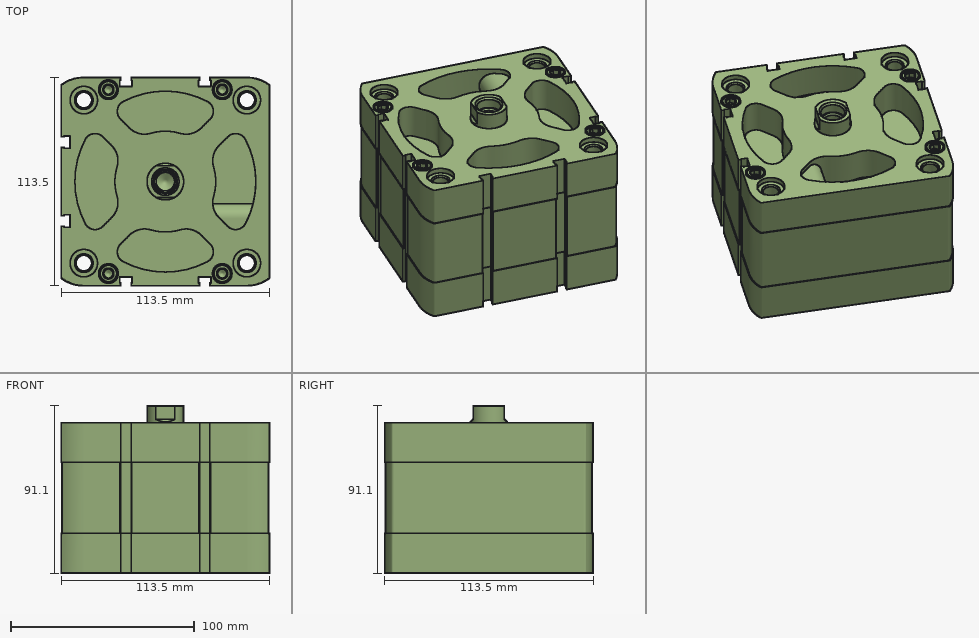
import cadquery as cq
import math


WIDTH = 113.5
HALF_WIDTH = WIDTH / 2
HEIGHT = 82.0
CAP_HEIGHT = 21.7
BARREL_HEIGHT = HEIGHT - 2 * CAP_HEIGHT
BARREL_INSET = 0.5
CORNER_ARC_RADIUS = 20.0
CORNER_ARC_X = 44.6
CAP_EDGE_FILLET = 1.1
BARREL_EDGE_FILLET = 1.7

SLOT_OFFSET = 21.5
SLOT_MOUTH = 5.7
SLOT_WIDTH = 6.6
SLOT_LIP = 1.6
CAP_SLOT_DEPTH = 5.0
BARREL_SLOT_DEPTH = 4.3
SLOT_MOUTH_CHAMFER = 0.5
SLOT_SIDE_ANGLES = (0, 180, 270)

POCKET_DEPTH = 18.8
POCKET_INNER_RADIUS = 27.5
POCKET_OUTER_RADIUS = 49.3
POCKET_LOBE_RADIUS = 11.6
POCKET_LOBE_X = 11.4
POCKET_END_RADIUS = 6.0
POCKET_FLANK_ANGLE = 45.0
PLAIN_POCKET_ANGLES = (0, 90, 180)
PORT_POCKET_ANGLE = 270

PORT_BOSS_RADIUS = 8.1
PORT_Y = -20.1
PORT_Z = HEIGHT - CAP_HEIGHT / 2

MOUNT_OFFSET = 44.4
MOUNT_DIAMETER = 8.5
MOUNT_COUNTERBORE = 15.0
MOUNT_COUNTERBORE_DEPTH = 3.0
MOUNT_COUNTERSINK = 10.1

SCREW_X = 31.0
SCREW_Y = 50.0
SCREW_DIAMETER = 10.7
SCREW_HEAD_DIAMETER = 10.0
SCREW_TOP_DIAMETER = 9.0
SCREW_GAP_DEPTH = 1.1
SCREW_SOCKET_MOUTH = 6.0
SCREW_HEX_CORNERS = 5.8
SCREW_HEX_DEPTH = 3.4
SCREW_DRILL_DIAMETER = 5.0

ROD_DIAMETER = 20.0
ROD_RADIUS = ROD_DIAMETER / 2
ROD_PROTRUSION = 9.1
ROD_TOP = HEIGHT + ROD_PROTRUSION
ROD_BOTTOM = HEIGHT - CAP_HEIGHT
ROD_ACROSS_FLATS = 17.0
ROD_FLAT_HEIGHT = 7.2
ROD_MOUTH_DIAMETER = 15.0
ROD_RECESS_DIAMETER = 13.0
ROD_RECESS_DEPTH = 6.1
ROD_CONE_DIAMETER = 12.0
ROD_BORE_DIAMETER = 10.1
ROD_BORE_DEPTH = 19.3

DRILL_POINT_ANGLE = 118.0


def drill_point_height(diameter):
    return diameter / 2 / math.tan(math.radians(DRILL_POINT_ANGLE / 2))


def revolved(profile):
    """Solid of revolution about Z from (radius, z) points."""
    return cq.Workplane("XZ").polyline(profile).close().revolve(360, (0, 0), (0, 1))


def housing_block(inset, height, edge_fillet):
    """Square block whose corners are shallow arcs tangent to the +Y and -Y sides."""
    half = HALF_WIDTH - inset
    radius = CORNER_ARC_RADIUS - inset
    arc_y = half - radius
    end_angle = math.acos((half - CORNER_ARC_X) / radius)
    mid_angle = (end_angle + math.pi / 2) / 2
    end_y = arc_y + radius * math.sin(end_angle)
    mid_x = CORNER_ARC_X + radius * math.cos(mid_angle)
    mid_y = arc_y + radius * math.sin(mid_angle)
    outline = (
        cq.Workplane("XY")
        .moveTo(half, -end_y)
        .lineTo(half, end_y)
        .threePointArc((mid_x, mid_y), (CORNER_ARC_X, half))
        .lineTo(-CORNER_ARC_X, half)
        .threePointArc((-mid_x, mid_y), (-half, end_y))
        .lineTo(-half, -end_y)
        .threePointArc((-mid_x, -mid_y), (-CORNER_ARC_X, -half))
        .lineTo(CORNER_ARC_X, -half)
        .threePointArc((mid_x, -mid_y), (half, -end_y))
        .close()
    )
    return outline.extrude(height).edges("|Z and (<X or >X)").fillet(edge_fillet)


def slot_segment(face_y, depth, height):
    """T-slot cutter centred on X = 0, for a block whose -Y face lies at face_y."""
    half_mouth = SLOT_MOUTH / 2
    half_width = SLOT_WIDTH / 2
    lip_y = SLOT_LIP - HALF_WIDTH
    floor_y = face_y + depth
    return (
        cq.Workplane("XY")
        .polyline(
            [
                (-half_mouth, face_y),
                (half_mouth, face_y),
                (half_mouth, lip_y),
                (half_width, lip_y),
                (half_width, floor_y),
                (-half_width, floor_y),
                (-half_width, lip_y),
                (-half_mouth, lip_y),
            ]
        )
        .close()
        .extrude(height)
    )


def slot_flare(face_y, height):
    """Cutter that chamfers both edges of a slot mouth."""
    half_mouth = SLOT_MOUTH / 2
    half_flare = half_mouth + SLOT_MOUTH_CHAMFER
    flare_bottom = face_y + SLOT_MOUTH_CHAMFER
    return (
        cq.Workplane("XY")
        .polyline(
            [
                (-half_flare, face_y),
                (half_flare, face_y),
                (half_mouth, flare_bottom),
                (-half_mouth, flare_bottom),
            ]
        )
        .close()
        .extrude(height)
    )


def sensor_slot():
    """Full-height slot cutter; the barrel stretch follows the inset barrel face."""
    barrel_y = BARREL_INSET - HALF_WIDTH
    cap_slot = slot_segment(-HALF_WIDTH, CAP_SLOT_DEPTH, CAP_HEIGHT)
    barrel_slot = slot_segment(barrel_y, BARREL_SLOT_DEPTH, BARREL_HEIGHT)
    barrel_slot = barrel_slot.union(slot_flare(barrel_y, BARREL_HEIGHT))
    slot = cap_slot.union(barrel_slot.translate((0, 0, CAP_HEIGHT)))
    return slot.union(cap_slot.translate((0, 0, HEIGHT - CAP_HEIGHT)))


def pocket():
    """Bean-shaped pocket cutter on the +Y side, symmetric about the YZ plane."""
    flank = math.radians(POCKET_FLANK_ANGLE)
    along = cq.Vector(math.cos(flank), math.sin(flank))
    outward = cq.Vector(math.sin(flank), -math.cos(flank))

    lobe_reach = POCKET_INNER_RADIUS + POCKET_LOBE_RADIUS
    lobe = cq.Vector(POCKET_LOBE_X, math.sqrt(lobe_reach**2 - POCKET_LOBE_X**2))
    end_reach = POCKET_OUTER_RADIUS - POCKET_END_RADIUS
    end_offset = lobe.dot(outward) + POCKET_LOBE_RADIUS - POCKET_END_RADIUS
    end = outward * end_offset + along * math.sqrt(end_reach**2 - end_offset**2)

    lobe_start = lobe.normalized() * POCKET_INNER_RADIUS
    lobe_middle = lobe + (outward - lobe.normalized()).normalized() * POCKET_LOBE_RADIUS
    flank_start = lobe + outward * POCKET_LOBE_RADIUS
    flank_finish = end + outward * POCKET_END_RADIUS
    end_middle = end + (outward + end.normalized()).normalized() * POCKET_END_RADIUS
    end_finish = end.normalized() * POCKET_OUTER_RADIUS

    def right(point):
        return (point.x, point.y)

    def left(point):
        return (-point.x, point.y)

    return (
        cq.Workplane("XY", origin=(0, 0, HEIGHT - POCKET_DEPTH))
        .moveTo(*left(lobe_start))
        .threePointArc((0, POCKET_INNER_RADIUS), right(lobe_start))
        .threePointArc(right(lobe_middle), right(flank_start))
        .lineTo(*right(flank_finish))
        .threePointArc(right(end_middle), right(end_finish))
        .threePointArc((0, POCKET_OUTER_RADIUS), left(end_finish))
        .threePointArc(left(end_middle), left(flank_finish))
        .lineTo(*left(flank_start))
        .threePointArc(left(lobe_middle), left(lobe_start))
        .close()
        .extrude(POCKET_DEPTH)
    )


def port_boss():
    """Material along X with a round flank, left standing in the +X pocket."""
    floor_z = HEIGHT - POCKET_DEPTH
    top_z = PORT_Z + PORT_BOSS_RADIUS
    flank = cq.Workplane("YZ").center(PORT_Y, PORT_Z).circle(PORT_BOSS_RADIUS).extrude(HALF_WIDTH)
    block = (
        cq.Workplane("YZ")
        .polyline(
            [
                (-HALF_WIDTH, floor_z),
                (PORT_Y, floor_z),
                (PORT_Y, top_z),
                (-HALF_WIDTH, top_z),
            ]
        )
        .close()
        .extrude(HALF_WIDTH)
    )
    return block.union(flank)


def mounting_hole():
    """Through-hole cutter with a counterbore and a 45 degree countersink below it."""
    seat_z = HEIGHT - MOUNT_COUNTERBORE_DEPTH
    sink_depth = (MOUNT_COUNTERSINK - MOUNT_DIAMETER) / 2
    return revolved(
        [
            (0, 0),
            (MOUNT_DIAMETER / 2, 0),
            (MOUNT_DIAMETER / 2, seat_z - sink_depth),
            (MOUNT_COUNTERSINK / 2, seat_z),
            (MOUNT_COUNTERBORE / 2, seat_z),
            (MOUNT_COUNTERBORE / 2, HEIGHT),
            (0, HEIGHT),
        ]
    )


def screw_head_recesses():
    """Cutter that leaves a screw head: a gap round its chamfered rim and a chamfered hex socket in it."""
    bore = SCREW_DIAMETER / 2
    head = SCREW_HEAD_DIAMETER / 2
    rim = SCREW_TOP_DIAMETER / 2
    gap_floor = HEIGHT - SCREW_GAP_DEPTH
    groove = revolved(
        [
            (rim, HEIGHT),
            (bore, HEIGHT),
            (bore, gap_floor),
            (head, gap_floor),
            (head, HEIGHT - (head - rim)),
        ]
    )
    socket_floor = HEIGHT - SCREW_HEX_DEPTH
    socket = cq.Workplane("XY", origin=(0, 0, socket_floor))
    socket = socket.polygon(6, SCREW_HEX_CORNERS).extrude(SCREW_HEX_DEPTH)
    mouth_radius = SCREW_SOCKET_MOUTH / 2
    lead_in = revolved([(0, HEIGHT), (mouth_radius, HEIGHT), (0, HEIGHT - mouth_radius)])
    drill_tip = socket_floor - drill_point_height(SCREW_DRILL_DIAMETER)
    drill = revolved([(0, socket_floor), (SCREW_DRILL_DIAMETER / 2, socket_floor), (0, drill_tip)])
    return groove.union(socket).union(lead_in).union(drill)


def make_housing():
    cap = housing_block(0, CAP_HEIGHT, CAP_EDGE_FILLET)
    barrel = housing_block(BARREL_INSET, BARREL_HEIGHT, BARREL_EDGE_FILLET)
    housing = cap.union(barrel.translate((0, 0, CAP_HEIGHT)))
    housing = housing.union(cap.translate((0, 0, HEIGHT - CAP_HEIGHT)))

    slot = sensor_slot()
    for angle in SLOT_SIDE_ANGLES:
        for x in (-SLOT_OFFSET, SLOT_OFFSET):
            housing = housing.cut(slot.translate((x, 0, 0)).rotate((0, 0, 0), (0, 0, 1), angle))

    for angle in PLAIN_POCKET_ANGLES:
        housing = housing.cut(pocket().rotate((0, 0, 0), (0, 0, 1), angle))
    port_pocket = pocket().rotate((0, 0, 0), (0, 0, 1), PORT_POCKET_ANGLE).cut(port_boss())
    housing = housing.cut(port_pocket)

    for side_x in (-1, 1):
        for side_y in (-1, 1):
            mount_place = (side_x * MOUNT_OFFSET, side_y * MOUNT_OFFSET, 0)
            housing = housing.cut(mounting_hole().translate(mount_place))
            screw_place = (side_x * SCREW_X, side_y * SCREW_Y, 0)
            housing = housing.cut(screw_head_recesses().translate(screw_place))

    rod_hole = cq.Workplane("XY", origin=(0, 0, ROD_BOTTOM)).circle(ROD_RADIUS).extrude(CAP_HEIGHT)
    return housing.cut(rod_hole).solids()


def rod_flat():
    """Cutter for the wrench flat on the -Y side, ending in a 45 degree shoulder."""
    flat_y = -ROD_ACROSS_FLATS / 2
    depth = ROD_RADIUS + flat_y
    flat_bottom = ROD_TOP - ROD_FLAT_HEIGHT
    return (
        cq.Workplane("YZ")
        .polyline(
            [
                (flat_y, ROD_TOP),
                (flat_y, flat_bottom),
                (flat_y - depth, flat_bottom - depth),
                (flat_y - depth, ROD_TOP),
            ]
        )
        .close()
        .extrude(ROD_RADIUS, both=True)
    )


def rod_bore():
    """Blind bore cutter with a chamfered recess, a conical step and a drill point."""
    chamfer = (ROD_MOUTH_DIAMETER - ROD_RECESS_DIAMETER) / 2
    recess_floor = ROD_TOP - ROD_RECESS_DEPTH
    cone_bottom = recess_floor - (ROD_CONE_DIAMETER - ROD_BORE_DIAMETER) / 2
    bore_bottom = ROD_TOP - ROD_BORE_DEPTH
    return revolved(
        [
            (0, ROD_TOP),
            (ROD_MOUTH_DIAMETER / 2, ROD_TOP),
            (ROD_RECESS_DIAMETER / 2, ROD_TOP - chamfer),
            (ROD_RECESS_DIAMETER / 2, recess_floor),
            (ROD_CONE_DIAMETER / 2, recess_floor),
            (ROD_BORE_DIAMETER / 2, cone_bottom),
            (ROD_BORE_DIAMETER / 2, bore_bottom),
            (0, bore_bottom - drill_point_height(ROD_BORE_DIAMETER)),
        ]
    )


def make_piston_rod():
    rod = cq.Workplane("XY", origin=(0, 0, ROD_BOTTOM))
    rod = rod.circle(ROD_RADIUS).extrude(ROD_TOP - ROD_BOTTOM)
    for angle in (0, 180):
        rod = rod.cut(rod_flat().rotate((0, 0, 0), (0, 0, 1), angle))
    return rod.cut(rod_bore()).solids()


housing = make_housing()
piston_rod = make_piston_rod()

result = cq.Compound.makeCompound([housing.val(), piston_rod.val()])